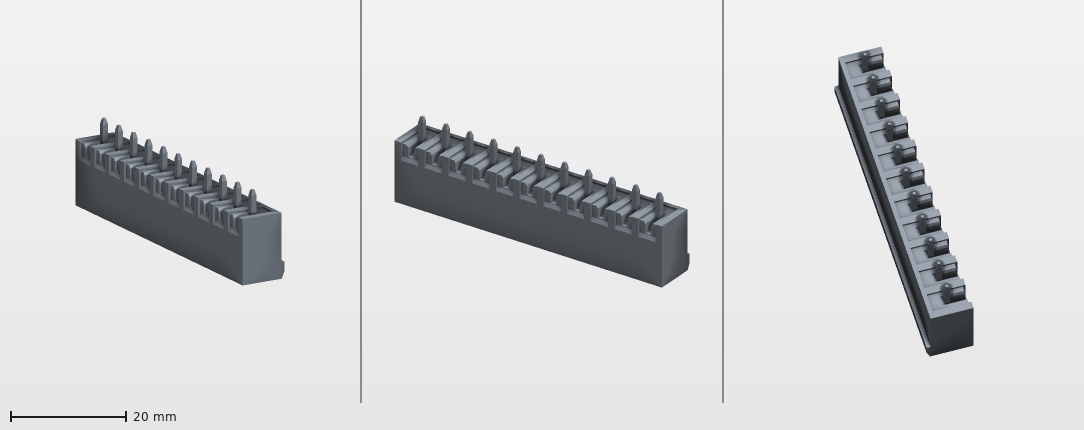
import cadquery as cq

PIN_COUNT = 11
PIN_PITCH = 5.0
PIN_SIZE = 1.0
PIN_TIP_SIZE = 0.5
PIN_TIP_HEIGHT = 1.0
PIN_TOP_Z = 16.0

HOUSING_LENGTH = 56.4
HOUSING_HEIGHT = 12.0
HOUSING_DEPTH = 7.8
TOTAL_DEPTH = 8.5
LIP_HEIGHT = 3.0
LIP_BEVEL_DEPTH = 0.6
LIP_BEVEL_HEIGHT = 1.4

POCKET_WIDTH = 3.6
POCKET_BACK_Y = 7.0
POCKET_DEPTH = 0.4
LEDGE_Z = HOUSING_HEIGHT - POCKET_DEPTH
LEDGE_FRONT_Y = 0.46
SILL_LOW_Z = 8.5
SILL_HIGH_Z = 9.22

SLOT_TOP_WIDTH = 1.25
SLOT_FLOOR_WIDTH = 1.05
SLOT_FLOOR_Z = 9.4
RIM_BEVEL_SIDE = 0.3
RIM_BEVEL_DEPTH = 0.45
RIM_BEVEL_BACK = 0.55

PIN_Y = HOUSING_DEPTH / 2
SLOT_BACK_Y = PIN_Y + PIN_SIZE / 2
PIN_XS = [(i - (PIN_COUNT - 1) / 2) * PIN_PITCH for i in range(PIN_COUNT)]


def extrude_side_profile(points, center_x, width):
    """Extrude a (Y, Z) outline along X, centred on center_x."""
    plane = cq.Workplane("YZ", origin=(center_x, 0, 0))
    return plane.polyline(points).close().extrude(width / 2, both=True)


def make_housing():
    """Plain block with a bevelled locking lip along the lower back edge."""
    outline = [
        (0, 0),
        (TOTAL_DEPTH - LIP_BEVEL_DEPTH, 0),
        (TOTAL_DEPTH, LIP_BEVEL_HEIGHT),
        (TOTAL_DEPTH, LIP_HEIGHT),
        (HOUSING_DEPTH, LIP_HEIGHT),
        (HOUSING_DEPTH, HOUSING_HEIGHT),
        (0, HOUSING_HEIGHT),
    ]
    return extrude_side_profile(outline, 0, HOUSING_LENGTH)


def make_pocket(x):
    """Shallow recess over the ledge that drops to a sloping sill at the front wall."""
    outline = [
        (0, SILL_LOW_Z),
        (LEDGE_FRONT_Y, SILL_HIGH_Z),
        (LEDGE_FRONT_Y, LEDGE_Z),
        (POCKET_BACK_Y, LEDGE_Z),
        (POCKET_BACK_Y, HOUSING_HEIGHT),
        (0, HOUSING_HEIGHT),
    ]
    return extrude_side_profile(outline, x, POCKET_WIDTH)


def make_slot(x):
    """Slot in the ledge, open to the front, that narrows downward below a bevelled rim."""
    rim_low_z = LEDGE_Z - RIM_BEVEL_DEPTH
    half_mouth = SLOT_TOP_WIDTH / 2 + RIM_BEVEL_SIDE
    cross_section = [
        (-SLOT_FLOOR_WIDTH / 2, SLOT_FLOOR_Z),
        (SLOT_FLOOR_WIDTH / 2, SLOT_FLOOR_Z),
        (SLOT_TOP_WIDTH / 2, rim_low_z),
        (half_mouth, LEDGE_Z),
        (-half_mouth, LEDGE_Z),
        (-SLOT_TOP_WIDTH / 2, rim_low_z),
    ]
    rim_back_y = SLOT_BACK_Y + RIM_BEVEL_BACK
    back_plane = cq.Workplane("XZ", origin=(x, rim_back_y, 0))
    channel = back_plane.polyline(cross_section).close().extrude(rim_back_y - LEDGE_FRONT_Y)

    side_outline = [
        (LEDGE_FRONT_Y, SLOT_FLOOR_Z),
        (SLOT_BACK_Y, SLOT_FLOOR_Z),
        (SLOT_BACK_Y, rim_low_z),
        (rim_back_y, LEDGE_Z),
        (LEDGE_FRONT_Y, LEDGE_Z),
    ]
    return channel.intersect(extrude_side_profile(side_outline, x, POCKET_WIDTH))


def make_pin(x):
    """Square pin rising from the slot floor, with a tapered tip."""
    shoulder_z = PIN_TOP_Z - PIN_TIP_HEIGHT
    shaft = (
        cq.Workplane("XY", origin=(x, PIN_Y, SLOT_FLOOR_Z))
        .rect(PIN_SIZE, PIN_SIZE)
        .extrude(shoulder_z - SLOT_FLOOR_Z)
    )
    tip = (
        cq.Workplane("XY", origin=(x, PIN_Y, shoulder_z))
        .rect(PIN_SIZE, PIN_SIZE)
        .workplane(offset=PIN_TIP_HEIGHT)
        .rect(PIN_TIP_SIZE, PIN_TIP_SIZE)
        .loft()
    )
    return shaft.union(tip)


result = make_housing()
for pin_x in PIN_XS:
    result = result.cut(make_pocket(pin_x)).cut(make_slot(pin_x))
for pin_x in PIN_XS:
    result = result.union(make_pin(pin_x))